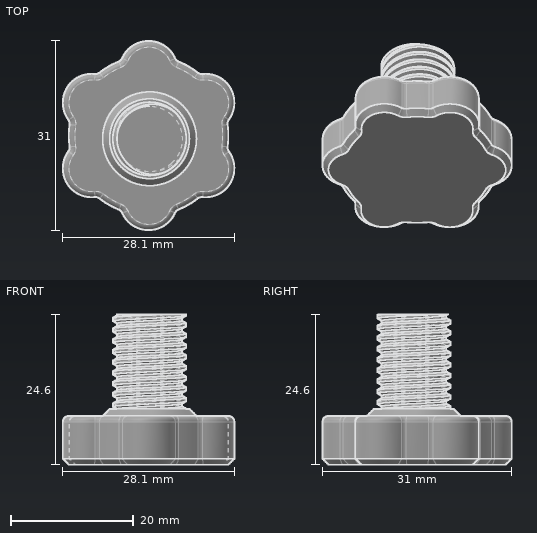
import cadquery as cq
import math

lobe_count = 6
tip_radius = 15.5
lobe_ring_radius = 10.75
lobe_radius = tip_radius - lobe_ring_radius
disc_radius = 13.08
blend_radius = 1.0
grip_height = 8.0
edge_size = 1.0

stud_x = 0.15
stud_y = -0.53
total_height = 24.6
collar_height = 1.15
collar_base_radius = 7.7
collar_top_radius = collar_base_radius - collar_height

major_radius = 6.0
root_radius = 5.33
ten_turn_rise = 17.5
pitch = ten_turn_rise / 10
crest_width = 0.53
ridge_base_width = 1.3
root_overlap = 0.2
crest_offset = -0.25
spare_turns = 2

shank_base = grip_height + collar_height
shank_length = total_height - shank_base


def polar(radius, angle):
    return radius * math.cos(angle), radius * math.sin(angle)


def point_towards(start, end, distance):
    """Point at a given distance from start, in the direction of end."""
    ratio = distance / math.dist(start, end)
    return start[0] + ratio * (end[0] - start[0]), start[1] + ratio * (end[1] - start[1])


def make_grip():
    blend_ring_radius = disc_radius + blend_radius
    blend_to_lobe = lobe_radius + blend_radius
    blend_angle = math.acos(
        (lobe_ring_radius**2 + blend_ring_radius**2 - blend_to_lobe**2)
        / (2 * lobe_ring_radius * blend_ring_radius)
    )
    lobe_step = 2 * math.pi / lobe_count
    first_lobe_angle = math.pi / 2

    def blend_points(lobe_angle, side):
        """Disc tangent point, middle and lobe tangent point of one blend arc."""
        angle = lobe_angle + side * blend_angle
        centre = polar(blend_ring_radius, angle)
        lobe_centre = polar(lobe_ring_radius, lobe_angle)
        on_disc = polar(disc_radius, angle)
        on_lobe = point_towards(centre, lobe_centre, blend_radius)
        chord_middle = ((on_disc[0] + on_lobe[0]) / 2, (on_disc[1] + on_lobe[1]) / 2)
        return on_disc, point_towards(centre, chord_middle, blend_radius), on_lobe

    outline = cq.Workplane("XY").moveTo(*blend_points(first_lobe_angle, -1)[0])
    for index in range(lobe_count):
        lobe_angle = first_lobe_angle + index * lobe_step
        _, entry_middle, lobe_start = blend_points(lobe_angle, -1)
        disc_start, exit_middle, lobe_end = blend_points(lobe_angle, 1)
        next_disc_end = blend_points(lobe_angle + lobe_step, -1)[0]
        outline = (
            outline.threePointArc(entry_middle, lobe_start)
            .threePointArc(polar(tip_radius, lobe_angle), lobe_end)
            .threePointArc(exit_middle, disc_start)
            .threePointArc(polar(disc_radius, lobe_angle + lobe_step / 2), next_disc_end)
        )
    grip = outline.close().extrude(grip_height)
    return grip.faces(">Z").edges().fillet(edge_size).faces("<Z").edges().chamfer(edge_size)


def make_collar():
    return (
        cq.Workplane("XZ")
        .lineTo(collar_base_radius, 0)
        .lineTo(collar_top_radius, collar_height)
        .lineTo(0, collar_height)
        .close()
        .revolve(360, (0, 0), (0, 1))
        .translate((0, 0, grip_height))
    )


def make_shank():
    first_crest = crest_offset - pitch
    helix_height = math.ceil(shank_length / pitch + spare_turns) * pitch
    helix = cq.Wire.makeHelix(pitch, helix_height, root_radius).translate(cq.Vector(0, 0, first_crest))

    flank_width = (ridge_base_width - crest_width) / 2
    flank_slope = flank_width / (major_radius - root_radius)
    inner_half_width = ridge_base_width / 2 + flank_slope * root_overlap
    inner_radius = root_radius - root_overlap
    ridge = (
        cq.Workplane("XZ")
        .polyline([
            (inner_radius, first_crest - inner_half_width),
            (major_radius, first_crest - crest_width / 2),
            (major_radius, first_crest + crest_width / 2),
            (inner_radius, first_crest + inner_half_width),
        ])
        .close()
        .sweep(cq.Workplane(obj=helix), isFrenet=True)
    )
    envelope = cq.Workplane("XY").circle(tip_radius).extrude(shank_length)
    core = cq.Workplane("XY").circle(root_radius).extrude(shank_length)
    return core.union(ridge.intersect(envelope)).translate((0, 0, shank_base))


stud = make_collar().union(make_shank()).translate((stud_x, stud_y, 0))
result = make_grip().union(stud)